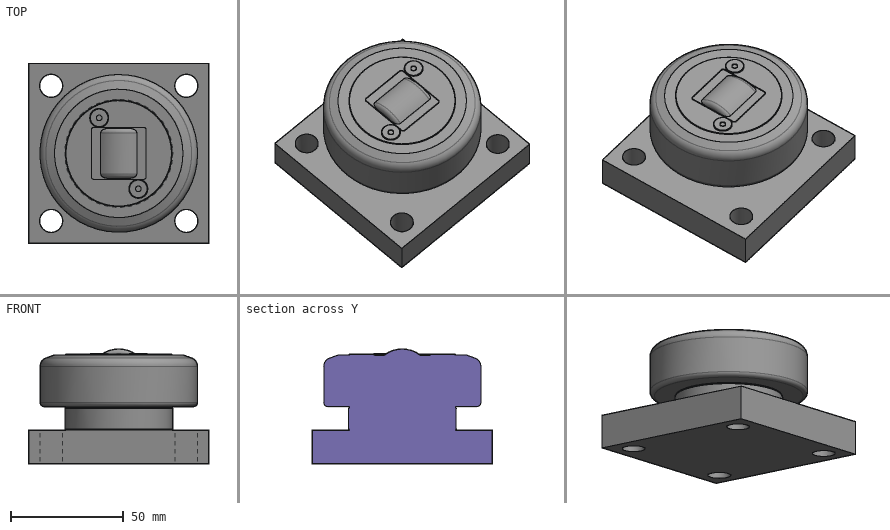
import cadquery as cq
import math

plate_side = 80.0
plate_thickness = 15.0
bolt_spacing = 60.0
bolt_hole_diameter = 10.11

axle_diameter = 47.3
axle_top = 48.7
axle_chamfer = 0.25
collar_diameter = 48.0
collar_top = 25.0
collar_chamfer = (collar_diameter - axle_diameter) / 2

roller_radius = 35.0
roller_bottom = 25.3
roller_top = 48.4
roller_bottom_fillet = 2.0
roller_shoulder_fillet = 4.0
roller_flat_radius = 28.5
roller_cone_angle = math.radians(20.0)

recess_length_x = 24.3
recess_length_y = 23.0
recess_depth = 0.4
recess_corner_radius = 1.0
recess_floor = axle_top - recess_depth

overall_height = 51.0
side_roller_exposed_width = 16.0
side_roller_end_gap = 0.35
side_roller_length = recess_length_y - 2 * side_roller_end_gap
side_roller_fillet = 2.1
side_roller_rise = overall_height - recess_floor
side_roller_half_chord = side_roller_exposed_width / 2
side_roller_radius = (side_roller_half_chord**2 + side_roller_rise**2) / (2 * side_roller_rise)

screw_x = 8.7
screw_y = 15.75
screw_head_diameter = 8.4
screw_top_diameter = 7.8
screw_head_height = 0.3
screw_socket_diameter = 2.5
screw_socket_depth = 0.5


def make_plate():
    plate = cq.Workplane("XY").rect(plate_side, plate_side).extrude(plate_thickness)
    holes = (
        cq.Workplane("XY")
        .rect(bolt_spacing, bolt_spacing, forConstruction=True)
        .vertices()
        .circle(bolt_hole_diameter / 2)
        .extrude(plate_thickness)
    )
    return plate.cut(holes)


def make_axle():
    axle = (
        cq.Workplane("XY")
        .workplane(offset=plate_thickness)
        .circle(axle_diameter / 2)
        .extrude(axle_top - plate_thickness)
        .faces(">Z")
        .chamfer(axle_chamfer)
    )
    collar = (
        cq.Workplane("XY")
        .workplane(offset=plate_thickness)
        .circle(collar_diameter / 2)
        .extrude(collar_top - plate_thickness)
        .faces(">Z or <Z")
        .chamfer(collar_chamfer)
    )
    return axle.union(collar)


def make_roller():
    arc_center_x = roller_radius - roller_shoulder_fillet
    cone_base_x = arc_center_x + roller_shoulder_fillet * math.sin(roller_cone_angle)
    cone_base_z = roller_top - (cone_base_x - roller_flat_radius) * math.tan(roller_cone_angle)
    arc_center_z = cone_base_z - roller_shoulder_fillet * math.cos(roller_cone_angle)
    mid_angle = (math.pi / 2 - roller_cone_angle) / 2
    arc_middle = (
        arc_center_x + roller_shoulder_fillet * math.cos(mid_angle),
        arc_center_z + roller_shoulder_fillet * math.sin(mid_angle),
    )
    return (
        cq.Workplane("XZ")
        .moveTo(0, roller_bottom)
        .lineTo(roller_radius - roller_bottom_fillet, roller_bottom)
        .radiusArc((roller_radius, roller_bottom + roller_bottom_fillet), -roller_bottom_fillet)
        .lineTo(roller_radius, arc_center_z)
        .threePointArc(arc_middle, (cone_base_x, cone_base_z))
        .lineTo(roller_flat_radius, roller_top)
        .lineTo(0, roller_top)
        .close()
        .revolve(360, (0, 0, 0), (0, 1, 0))
    )


def make_recess():
    return (
        cq.Workplane("XY")
        .workplane(offset=recess_floor)
        .rect(recess_length_x, recess_length_y)
        .extrude(recess_depth)
        .edges("|Z")
        .fillet(recess_corner_radius)
    )


def make_side_roller():
    return (
        cq.Workplane("XZ")
        .center(0, overall_height - side_roller_radius)
        .circle(side_roller_radius)
        .extrude(side_roller_length / 2, both=True)
        .faces("<Y or >Y")
        .edges()
        .fillet(side_roller_fillet)
    )


def make_screw_head(x, y):
    return (
        cq.Workplane("XY")
        .workplane(offset=axle_top)
        .center(x, y)
        .circle(screw_head_diameter / 2)
        .workplane(offset=screw_head_height)
        .circle(screw_top_diameter / 2)
        .loft()
    )


def make_screw_socket(x, y):
    return (
        cq.Workplane("XY")
        .workplane(offset=axle_top + screw_head_height)
        .center(x, y)
        .circle(screw_socket_diameter / 2)
        .extrude(-screw_socket_depth)
    )


result = make_plate().union(make_roller()).union(make_axle())
result = result.cut(make_recess()).union(make_side_roller())
for side in (-1, 1):
    position = (side * screw_x, -side * screw_y)
    result = result.union(make_screw_head(*position)).cut(make_screw_socket(*position))